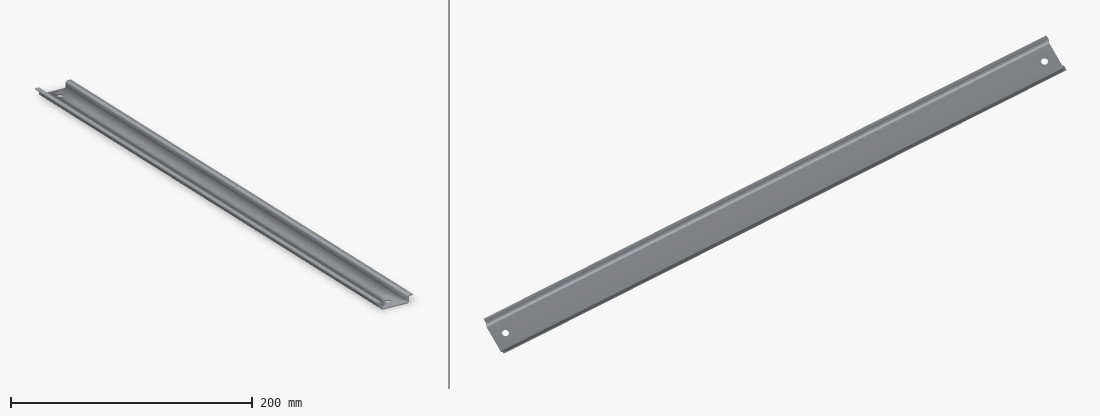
import cadquery as cq

length = 529.0
width = 35.0
height = 7.5
thickness = 1.0
channel_width = 27.0
bend_radius = 0.8

hole_diameter = 6.0
hole_end_distance = 11.0

half_width = width / 2
wall_outer = channel_width / 2
wall_inner = wall_outer - thickness
outer_bend_radius = bend_radius + thickness


def rail_profile():
    """Hat section in the YZ plane, with the floor at Z = 0."""
    flange_bottom = height - thickness
    outline = [
        (-wall_outer, 0),
        (wall_outer, 0),
        (wall_outer, flange_bottom),
        (half_width, flange_bottom),
        (half_width, height),
        (wall_inner, height),
        (wall_inner, thickness),
        (-wall_inner, thickness),
        (-wall_inner, height),
        (-half_width, height),
        (-half_width, flange_bottom),
        (-wall_outer, flange_bottom),
    ]
    return cq.Workplane("YZ").polyline(outline).close()


def round_edge_pair(body, y, z, radius):
    """Round the two lengthwise edges at (+y, z) and (-y, z)."""
    for side in (-1, 1):
        edge = cq.selectors.NearestToPointSelector((0, side * y, z))
        body = body.edges("|X").edges(edge).fillet(radius)
    return body


rail = rail_profile().extrude(length / 2, both=True)

rail = round_edge_pair(rail, wall_inner, thickness, bend_radius)
rail = round_edge_pair(rail, wall_outer, height - thickness, bend_radius)
rail = round_edge_pair(rail, wall_outer, 0, outer_bend_radius)
rail = round_edge_pair(rail, wall_inner, height, outer_bend_radius)

hole_x = length / 2 - hole_end_distance
holes = (
    cq.Workplane("XY")
    .pushPoints([(-hole_x, 0), (hole_x, 0)])
    .circle(hole_diameter / 2)
    .extrude(height)
)
result = rail.cut(holes)